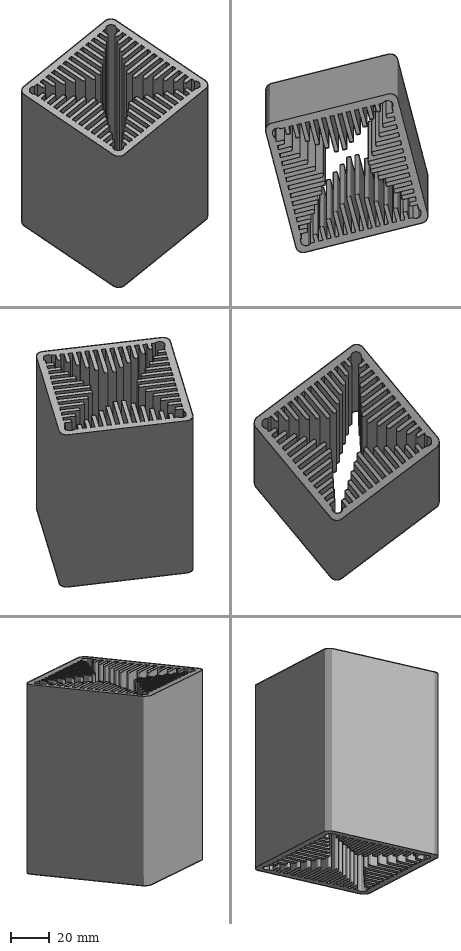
import cadquery as cq

side = 70.0
height = 100.0
wall = 4.0
corner_radius = wall
bore_side = side - 2 * wall

relief_radius = 2.7
relief_inset = 5.9
relief_spacing = side - 2 * relief_inset

wall_count = 4
fins_per_wall = 12
fin_row_width = 47.8
fin_pitch = fin_row_width / (fins_per_wall - 1)
fin_thickness = 2.2
longest_tip_distance = 12.0
tip_step = 3.0
tip_fillet = 0.8
fin_root = (side - wall) / 2


def make_tube():
    """Square tube with rounded outer corners and round reliefs in the inner corners."""
    tube = cq.Workplane("XY").rect(side, side).extrude(height)
    tube = tube.edges("|Z").fillet(corner_radius)
    bore = cq.Workplane("XY").rect(bore_side, bore_side).extrude(height)
    reliefs = (
        cq.Workplane("XY")
        .rect(relief_spacing, relief_spacing, forConstruction=True)
        .vertices()
        .circle(relief_radius)
        .extrude(height)
    )
    return tube.cut(bore).cut(reliefs)


def make_fin(tip_distance, offset):
    """One full-height fin on the +X wall, its tip face rounded on all four edges."""
    length = fin_root - tip_distance
    fin = cq.Workplane("XY").box(length, fin_thickness, height, centered=(False, True, False))
    fin = fin.faces("<X").edges().fillet(tip_fillet)
    return fin.translate((tip_distance, offset, 0))


def make_fin_row():
    """All fins of the +X wall, mirrored about the middle of the wall."""
    fins = []
    for index in range(fins_per_wall // 2):
        tip_distance = longest_tip_distance + index * tip_step
        offset = (index + 0.5) * fin_pitch
        fins.append(make_fin(tip_distance, offset))
        fins.append(make_fin(tip_distance, -offset))
    return fins


result = make_tube()
fin_row = make_fin_row()
for wall_index in range(wall_count):
    angle = wall_index * 360 / wall_count
    for fin in fin_row:
        result = result.union(fin.rotate((0, 0, 0), (0, 0, 1), angle))